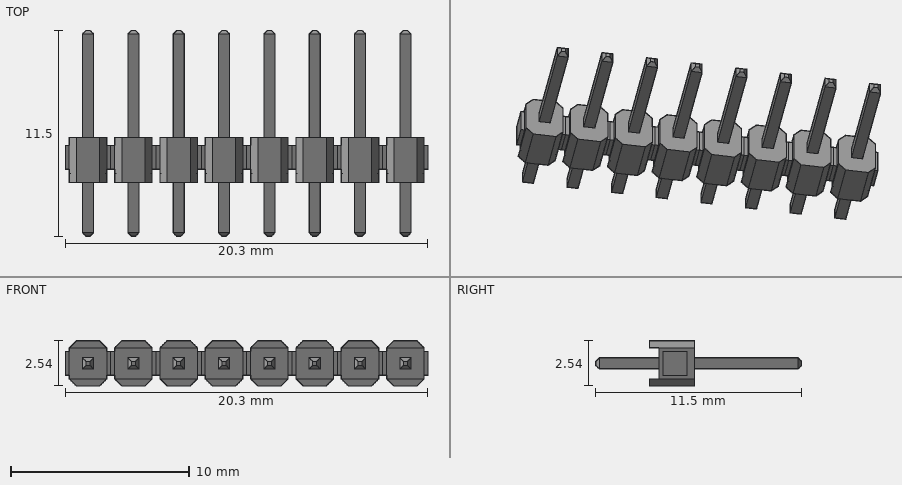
import cadquery as cq

unit_count = 8
row_length = 20.32
pitch = row_length / unit_count

block_size = pitch
block_width = 2.11
flange_chamfer = 0.4
core_height = block_size - 2 * flange_chamfer
flange_overhang = 0.53
core_depth = block_size - flange_overhang

link_size = 1.35
link_rear_inset = 0.45

pin_width = 0.63
pin_rear_length = 6.0
pin_front_length = 3.0
pin_tip_chamfer = 0.2

core_front = -core_depth
flange_front = -block_size
pin_front = flange_front - pin_front_length
pin_length = pin_rear_length + block_size + pin_front_length


def box_from_front(width, front, depth, height):
    """Box centred on X and Z, whose front face is at Y = front."""
    return cq.Workplane("XY").box(width, depth, height, centered=(True, False, True)).translate((0, front, 0))


def make_flange():
    """Upper flange: a trapezoid that narrows upwards, extruded from the rear face to the front."""
    base = core_height / 2
    half_base = block_width / 2
    half_top = half_base - flange_chamfer
    return (
        cq.Workplane("XZ")
        .moveTo(-half_base, base)
        .lineTo(half_base, base)
        .lineTo(half_top, base + flange_chamfer)
        .lineTo(-half_top, base + flange_chamfer)
        .close()
        .extrude(block_size)
    )


def make_pin():
    """Square pin along Y with all four edges of both ends chamfered."""
    pin = box_from_front(pin_width, pin_front, pin_length, pin_width)
    return pin.faces("<Y or >Y").chamfer(pin_tip_chamfer)


def make_unit():
    """One header unit: core, upper and lower flange, link and pin as a single solid."""
    core = box_from_front(block_width, core_front, core_depth, core_height)
    link_front = -link_rear_inset - link_size
    link = box_from_front(pitch, link_front, link_size, link_size)
    upper_flange = make_flange()
    lower_flange = upper_flange.mirror("XY")
    return core.union(upper_flange).union(lower_flange).union(link).union(make_pin())


unit = make_unit()
first_unit_x = -(row_length - pitch) / 2
units = [unit.translate((first_unit_x + i * pitch, 0, 0)).val() for i in range(unit_count)]

result = cq.Compound.makeCompound(units)